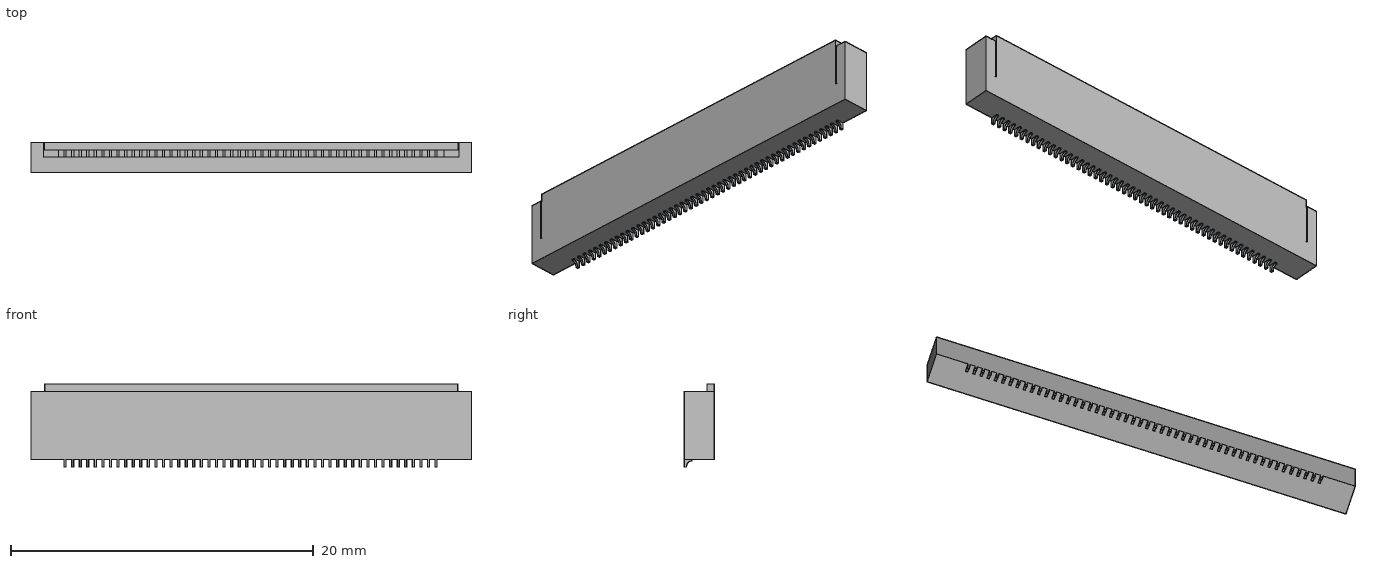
import cadquery as cq

HOUSING_LENGTH = 29.1
HOUSING_DEPTH = 2.0
HOUSING_HEIGHT = 4.5
FRONT_Y = -HOUSING_DEPTH / 2
BACK_Y = HOUSING_DEPTH / 2

BAR_LENGTH = 27.3
BAR_THICKNESS = 0.5
BAR_RISE = 0.5

SLOT_LENGTH = 27.47
SLOT_WIDTH = 0.47
SLOT_DEPTH = 2.9
SLOT_FLOOR_Z = HOUSING_HEIGHT - SLOT_DEPTH
SLOT_FRONT_Y = BACK_Y - BAR_THICKNESS - SLOT_WIDTH

TROUGH_LENGTH = 25.5
TROUGH_DEPTH = 0.5

CONTACT_COUNT = 50
CONTACT_ROW_LENGTH = 24.5
CONTACT_PITCH = CONTACT_ROW_LENGTH / (CONTACT_COUNT - 1)
CONTACT_ROW_CENTER_X = -0.045
CONTACT_WIDTH = 0.15

LEG_LENGTH = 0.5
LEG_THICKNESS = 0.17
LEG_ROOT_RADIUS = 0.35
LEG_ROOT_DROP = 0.1


def block(length, y_min, y_max, z_min, z_max, center_x=0.0):
    """Box centred at center_x and spanning the given Y and Z limits."""
    return (
        cq.Workplane("XY")
        .box(length, y_max - y_min, z_max - z_min, centered=(True, False, False))
        .translate((center_x, y_min, z_min))
    )


def make_housing():
    """Housing with the bar recess, the slot and the trough cut from above."""
    body = block(HOUSING_LENGTH, FRONT_Y, BACK_Y, 0, HOUSING_HEIGHT)
    recess = block(SLOT_LENGTH, SLOT_FRONT_Y, BACK_Y, SLOT_FLOOR_Z, HOUSING_HEIGHT)
    trough = block(
        TROUGH_LENGTH,
        SLOT_FRONT_Y,
        SLOT_FRONT_Y + SLOT_WIDTH,
        SLOT_FLOOR_Z - TROUGH_DEPTH,
        SLOT_FLOOR_Z,
    )
    return body.cut(recess).cut(trough)


def make_bar():
    """Locking bar standing on the slot floor, flush with the housing back."""
    return block(BAR_LENGTH, BACK_Y - BAR_THICKNESS, BACK_Y, SLOT_FLOOR_Z, HOUSING_HEIGHT + BAR_RISE)


def make_contact(x):
    """Contact bridging the trough, level with the slot floor."""
    return block(
        CONTACT_WIDTH,
        SLOT_FRONT_Y,
        SLOT_FRONT_Y + SLOT_WIDTH,
        SLOT_FLOOR_Z - TROUGH_DEPTH,
        SLOT_FLOOR_Z,
        center_x=x,
    )


def make_leg(x):
    """Solder leg flush with the housing front, flared by a concave arc at its root."""
    inner_y = FRONT_Y + LEG_THICKNESS
    root_y = inner_y + LEG_ROOT_RADIUS
    return (
        cq.Workplane("YZ")
        .moveTo(FRONT_Y, 0)
        .lineTo(FRONT_Y, -LEG_LENGTH)
        .lineTo(inner_y, -LEG_LENGTH)
        .lineTo(inner_y, -LEG_ROOT_DROP - LEG_ROOT_RADIUS)
        .radiusArc((root_y, -LEG_ROOT_DROP), LEG_ROOT_RADIUS)
        .lineTo(root_y, 0)
        .close()
        .extrude(CONTACT_WIDTH / 2, both=True)
        .translate((x, 0, 0))
    )


housing_with_bar = make_housing().union(make_bar())

first_contact_x = CONTACT_ROW_CENTER_X - CONTACT_ROW_LENGTH / 2
row_parts = []
for index in range(CONTACT_COUNT):
    contact_x = first_contact_x + index * CONTACT_PITCH
    row_parts.append(make_contact(contact_x).val())
    row_parts.append(make_leg(contact_x).val())

result = cq.Workplane(housing_with_bar.val().fuse(*row_parts))